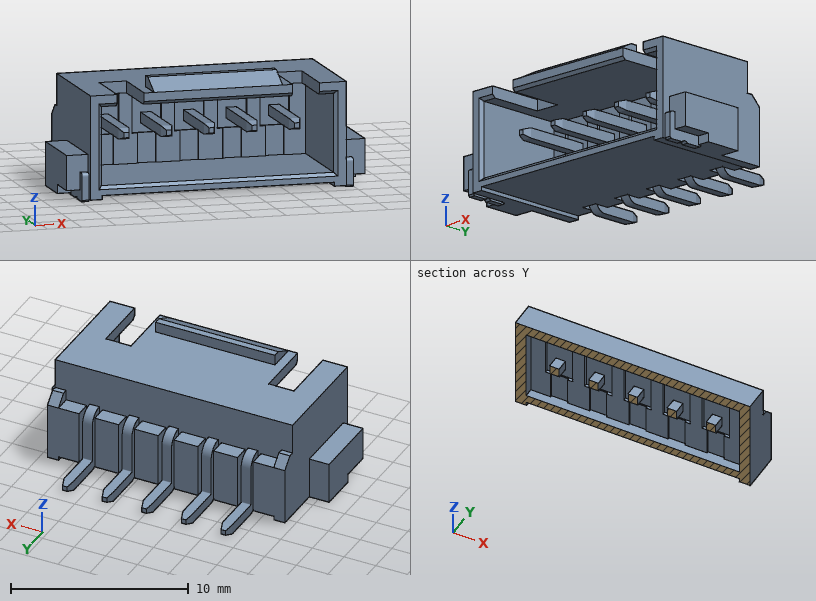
import cadquery as cq


pin_count = 5
pitch = 2.5
pin_size = 0.61
pin_axis_z = 3.45
pin_front_y = 1.35
pin_rear_y = 10.5
pin_tip_size = 0.3
pin_tip_length = 0.49
upper_bend_inner_radius = 0.23
lower_bend_inner_radius = 0.05
leg_rear_y = 7.7

wing_span = 17.51
body_width = 15.0
body_bottom = 0.1
body_height = 5.99
body_top = body_bottom + body_height
body_rear_y = 6.81

ledge_rear_y = 7.77
ledge_top = 4.24
ledge_chamfer = 0.63
ledge_end_width = 0.7
leg_slot_width = 1.0

foot_width = 0.7
foot_height = 0.23

cavity_width = 13.62
cavity_bottom = 0.88
cavity_top = 5.41
cavity_depth = 5.8
mouth_chamfer = 0.2

recess_upper_depth = 0.2
recess_lower_depth = 0.1
recess_upper_width = 1.73
recess_lower_width = 1.09
recess_step_z = 2.61

top_slot_width = 1.6
top_slot_center_x = 5.15
top_slot_length = 3.59

latch_width = 7.55
latch_height = 0.65
latch_rear_y = 1.68
latch_flat_length = 0.42

wing_front_y = 0.53
wing_rear_y = 4.75
wing_top = 2.65
wing_notch_rear_y = 2.38
wing_notch_top = 0.63

tab_thickness = 0.4
tab_gap = 0.05
tab_front_y = 0.1
tab_rear_y = 2.61
tab_top = 1.65
tab_top_radius = 0.21
tab_foot_chamfer = 0.1
tab_groove_y = 1.31
tab_groove_half_width = 0.2
tab_groove_height = 0.1

pin_positions = [(i - (pin_count - 1) / 2) * pitch for i in range(pin_count)]


def block(x_center, width, y_min, y_max, z_min, z_max):
    """Box centred on x_center and spanning the given Y and Z ranges."""
    box = cq.Workplane("XY").box(width, y_max - y_min, z_max - z_min, centered=(True, False, False))
    return box.translate((x_center, y_min, z_min))


def side_prism(profile, x_center, width):
    """Extrude a closed YZ profile along X, centred on x_center."""
    return profile.extrude(width / 2, both=True).translate((x_center, 0, 0))


def make_shell():
    """Outer housing with its slotted rear ledge and side feet."""
    ledge_corner_z = ledge_top - ledge_chamfer
    profile = (
        cq.Workplane("YZ")
        .moveTo(0, body_bottom)
        .lineTo(ledge_rear_y, body_bottom)
        .lineTo(ledge_rear_y, ledge_corner_z)
        .lineTo(ledge_rear_y - ledge_chamfer, ledge_top)
        .lineTo(body_rear_y, ledge_top)
        .lineTo(body_rear_y, body_top)
        .lineTo(0, body_top)
        .close()
    )
    shell = side_prism(profile, 0, body_width)

    ledge_inner_width = body_width - 2 * ledge_end_width
    shell = shell.cut(block(0, ledge_inner_width, body_rear_y, ledge_rear_y, ledge_corner_z, ledge_top))
    for x in pin_positions:
        shell = shell.cut(block(x, leg_slot_width, body_rear_y, ledge_rear_y, body_bottom, ledge_top))

    underside_width = body_width - 2 * foot_width
    underside_z = body_bottom + foot_height
    return shell.cut(block(0, underside_width, 0, ledge_rear_y, body_bottom, underside_z))


def make_cavity():
    """Mating cavity with a flared mouth and a stepped recess behind each pin."""
    cavity_height = cavity_top - cavity_bottom
    cavity_center_z = (cavity_top + cavity_bottom) / 2
    cavity = block(0, cavity_width, 0, cavity_depth, cavity_bottom, cavity_top)
    flare = (
        cq.Workplane("XZ", origin=(0, 0, cavity_center_z))
        .rect(cavity_width + 2 * mouth_chamfer, cavity_height + 2 * mouth_chamfer)
        .workplane(offset=-mouth_chamfer)
        .rect(cavity_width, cavity_height)
        .loft(ruled=True)
    )
    cavity = cavity.union(flare)
    upper_y = cavity_depth + recess_upper_depth
    lower_y = cavity_depth + recess_lower_depth
    for x in pin_positions:
        cavity = cavity.union(block(x, recess_upper_width, 0, upper_y, recess_step_z, cavity_top))
        cavity = cavity.union(block(x, recess_lower_width, 0, lower_y, cavity_bottom, recess_step_z))
    return cavity


def make_latch():
    """Ridge on the top wall that ramps up from the mouth."""
    latch_top = body_top + latch_height
    profile = (
        cq.Workplane("YZ")
        .moveTo(0, body_top)
        .lineTo(latch_rear_y - latch_flat_length, latch_top)
        .lineTo(latch_rear_y, latch_top)
        .lineTo(latch_rear_y, body_top)
        .close()
    )
    return side_prism(profile, 0, latch_width)


def make_wing(side):
    """Side wing, notched underneath at the front for its solder tab."""
    width = (wing_span - body_width) / 2
    x = side * (body_width + width) / 2
    wing = block(x, width, wing_front_y, wing_rear_y, body_bottom, wing_top)
    return wing.cut(block(x, width, wing_front_y, wing_notch_rear_y, body_bottom, wing_notch_top))


def make_tab(side):
    """L-shaped solder tab with a rounded groove across its sole."""
    x = side * (body_width / 2 + tab_gap + tab_thickness / 2)
    profile = (
        cq.Workplane("YZ")
        .moveTo(tab_front_y + tab_foot_chamfer, 0)
        .lineTo(tab_groove_y - tab_groove_half_width, 0)
        .threePointArc((tab_groove_y, tab_groove_height), (tab_groove_y + tab_groove_half_width, 0))
        .lineTo(tab_rear_y - tab_foot_chamfer, 0)
        .lineTo(tab_rear_y, tab_foot_chamfer)
        .lineTo(tab_rear_y, wing_notch_top)
        .lineTo(wing_front_y, wing_notch_top)
        .lineTo(wing_front_y, tab_top)
        .lineTo(tab_front_y + tab_top_radius, tab_top)
        .radiusArc((tab_front_y, tab_top - tab_top_radius), -tab_top_radius)
        .lineTo(tab_front_y, tab_foot_chamfer)
        .close()
    )
    return side_prism(profile, x, tab_thickness)


def pin_tip(x, z, base_y, direction):
    """Tapered tip growing from base_y towards +Y (direction 1) or -Y (-1)."""
    return (
        cq.Workplane("XZ", origin=(x, base_y, z))
        .rect(pin_size, pin_size)
        .workplane(offset=-direction * pin_tip_length)
        .rect(pin_tip_size, pin_tip_size)
        .loft(ruled=True)
    )


def make_pin(x):
    """Square wire bent down behind the housing and out along the solder plane."""
    half = pin_size / 2
    upper_radius = upper_bend_inner_radius + half
    lower_radius = lower_bend_inner_radius + half
    leg_y = leg_rear_y - half
    front_base_y = pin_front_y + pin_tip_length
    rear_base_y = pin_rear_y - pin_tip_length
    path = (
        cq.Workplane("YZ", origin=(x, 0, 0))
        .moveTo(front_base_y, pin_axis_z)
        .lineTo(leg_y - upper_radius, pin_axis_z)
        .radiusArc((leg_y, pin_axis_z - upper_radius), upper_radius)
        .lineTo(leg_y, half + lower_radius)
        .radiusArc((leg_y + lower_radius, half), -lower_radius)
        .lineTo(rear_base_y, half)
    )
    wire = (
        cq.Workplane("XZ", origin=(x, front_base_y, pin_axis_z))
        .rect(pin_size, pin_size)
        .sweep(path)
    )
    wire = wire.union(pin_tip(x, pin_axis_z, front_base_y, -1))
    return wire.union(pin_tip(x, half, rear_base_y, 1))


result = make_shell().cut(make_cavity()).union(make_latch())
for side in (-1, 1):
    slot_x = side * top_slot_center_x
    result = result.cut(block(slot_x, top_slot_width, 0, top_slot_length, cavity_top, body_top))
    result = result.union(make_wing(side)).union(make_tab(side))
for x in pin_positions:
    result = result.union(make_pin(x))